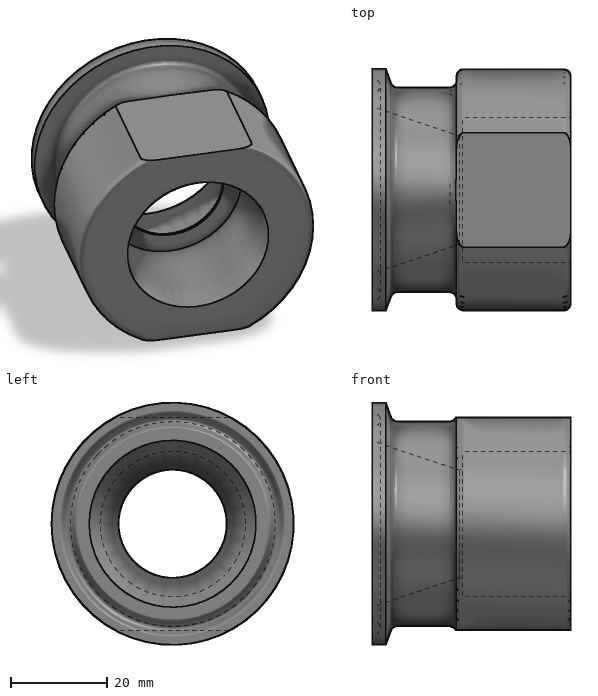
import cadquery as cq
import math

total_length = 41.25

flange_diameter = 50.4
rim_width = 2.8
flange_back_angle = 20.0
flange_fillet = 1.35

groove_mean_diameter = 43.35
groove_depth = 1.65
groove_floor_radius = 1.3
groove_wall_angle = 22.0
groove_edge_fillet = 0.3

neck_diameter = 42.6
neck_end_fillet = 1.35

body_start = 17.5
body_diameter = 50.2
body_edge_fillet = 1.55
across_flats = 44.2

inlet_diameter = 34.65
bore_diameter = 22.4
cone_length = 18.15
land_length = 0.6
socket_diameter = 30.25

match_tolerance = 0.005


def round_ring_edge(solid, x, radius, fillet):
    """Fillet the circular edge of the given radius that lies at the given X."""

    def is_wanted(edge):
        return abs(edge.Center().x - x) < match_tolerance and abs(edge.radius() - radius) < match_tolerance

    return solid.edges("%CIRCLE").filter(is_wanted).fillet(fillet)


def make_turned_blank():
    """Solid of revolution: flange, tapered flange back, neck and round body."""
    flange_radius = flange_diameter / 2
    neck_radius = neck_diameter / 2
    body_radius = body_diameter / 2
    taper_run = (flange_radius - neck_radius) * math.tan(math.radians(flange_back_angle))
    blank = (
        cq.Workplane("XY")
        .moveTo(0, 0)
        .lineTo(0, flange_radius)
        .lineTo(rim_width, flange_radius)
        .lineTo(rim_width + taper_run, neck_radius)
        .lineTo(body_start, neck_radius)
        .lineTo(body_start, body_radius)
        .lineTo(total_length, body_radius)
        .lineTo(total_length, 0)
        .close()
        .revolve(360, (0, 0, 0), (1, 0, 0))
    )

    blank = round_ring_edge(blank, rim_width + taper_run, neck_radius, flange_fillet)
    blank = round_ring_edge(blank, body_start, neck_radius, neck_end_fillet)
    blank = round_ring_edge(blank, body_start, body_radius, body_edge_fillet)
    return round_ring_edge(blank, total_length, body_radius, body_edge_fillet)


def cut_wrench_flats(solid):
    """Two opposite flats, above and below the axis, reaching over the neck end fillet."""
    flat_start = body_start - neck_end_fillet
    slab = cq.Workplane("XY").box(
        total_length - flat_start, flange_diameter, flange_diameter, centered=(False, True, False)
    )
    top = slab.translate((flat_start, 0, across_flats / 2))
    return solid.cut(top).cut(top.mirror("XY"))


def cut_gasket_groove(solid):
    """Ring groove with a round floor, sloped walls tangent to it and rounded mouth edges."""
    wall_slope = math.radians(groove_wall_angle)
    mean_radius = groove_mean_diameter / 2
    floor_half_width = groove_floor_radius * math.cos(wall_slope)
    wall_depth = groove_depth - groove_floor_radius * (1 - math.sin(wall_slope))
    mouth_half_width = floor_half_width + wall_depth * math.tan(wall_slope)
    groove = (
        cq.Workplane("XY")
        .moveTo(0, mean_radius - mouth_half_width)
        .lineTo(wall_depth, mean_radius - floor_half_width)
        .threePointArc((groove_depth, mean_radius), (wall_depth, mean_radius + floor_half_width))
        .lineTo(0, mean_radius + mouth_half_width)
        .close()
        .revolve(360, (0, 0, 0), (1, 0, 0))
    )
    grooved = solid.cut(groove)
    for mouth_radius in (mean_radius - mouth_half_width, mean_radius + mouth_half_width):
        grooved = round_ring_edge(grooved, 0, mouth_radius, groove_edge_fillet)
    return grooved


def make_passage():
    """Inlet cone, short cylindrical land and wider outlet socket."""
    socket_start = cone_length + land_length
    return (
        cq.Workplane("XY")
        .moveTo(0, 0)
        .lineTo(0, inlet_diameter / 2)
        .lineTo(cone_length, bore_diameter / 2)
        .lineTo(socket_start, bore_diameter / 2)
        .lineTo(socket_start, socket_diameter / 2)
        .lineTo(total_length, socket_diameter / 2)
        .lineTo(total_length, 0)
        .close()
        .revolve(360, (0, 0, 0), (1, 0, 0))
    )


result = cut_gasket_groove(cut_wrench_flats(make_turned_blank())).cut(make_passage())